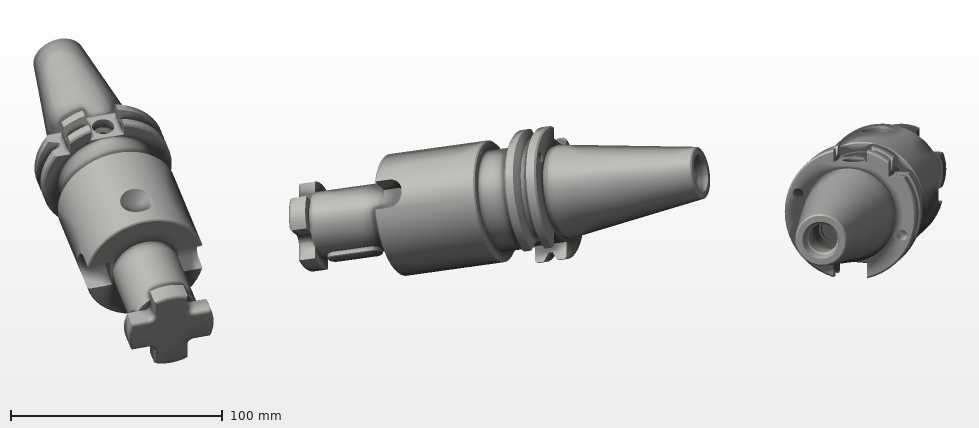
import cadquery as cq
import math


GAUGE_X = 68.9
GAUGE_R = 22.4
TAPER_RATIO = 7 / 24
SMALL_END_R = GAUGE_R - GAUGE_X * TAPER_RATIO / 2
SMALL_END_CHAMFER = 0.6
RELIEF_X = 70.0
RELIEF_R = 22.0

BOLT_MOUTH_R = 8.9
BOLT_SEAT_R = 7.7
BOLT_SEAT_DEPTH = 4.6
BOLT_SHOULDER_R = 6.8
BOLT_CORE_R = 5.8
BOLT_DEPTH = 30.2
BOLT_CORE_DEPTH = 32.2

FLANGE_X = 71.5
FLANGE_END_X = 87.5
FLANGE_R = 31.6
FLANGE_CHAMFER = 0.8
GROOVE_X = 79.5
GROOVE_R = 27.5
GROOVE_FLOOR_WIDTH = 2.0
GROOVE_HALF_ANGLE = math.radians(30)

DRIVE_SLOT_WIDTH = 16.1
UPPER_SLOT_Z = 24.5
LOWER_SLOT_Z = 22.2
LOWER_SLOT_FLAT_END_X = 86.8
LOWER_SLOT_RUNOUT_R = 20.1
NOTCH_OFFSET = 18.3
COOLANT_D = 4.6
COOLANT_RADIUS = 26.5
COOLANT_ANGLE = 20
COOLANT_TILT = math.radians(30)
COOLANT_DEPTH = 12.0
POCKET_D = 10.5
POCKET_DEPTH = 5.0
PILOT_D = 3.5
PILOT_DEPTH = 4.0

NECK_R = 24.2
NECK_FILLET = 0.6
DRUM_X = 103.5
DRUM_END_X = 154.5
DRUM_R = 29.0
DRUM_CHAMFER = 0.6
DIMPLE_X = 139.0
DIMPLE_BALL_R = 9.0
DIMPLE_BALL_Z = 32.8
DRIVER_SLOT_WIDTH = 14.0
DRIVER_SLOT_X = 140.4

SPIGOT_END_X = 191.1
SPIGOT_R = 16.1
UNDERCUT_R = 16.0
UNDERCUT_WIDTH = 2.2
UNDERCUT_RAMP = 0.8

KEY_X = 161.7
KEY_END_X = 189.3
KEY_WIDTH = 8.0
KEY_HEIGHT = 7.0
KEY_TOP = 18.0
KEY_CHAMFER = 0.5

SCREW_END_X = 201.5
HEAD_X = 192.5
HEAD_R = 21.0
ARM_WIDTH = 16.3
ARM_CORNER_R = 3.0
HEAD_FILLET = 1.8

EXTRA = 2.0


def box(x_min, x_max, y_min, y_max, z_min, z_max):
    """Axis-parallel block between the given limits."""
    size = (x_max - x_min, y_max - y_min, z_max - z_min)
    return cq.Workplane("XY").box(*size, centered=False).translate((x_min, y_min, z_min))


def turned(profile):
    """Turn a closed (x, radius) workplane outline about the X axis."""
    return profile.close().revolve(360, (0, 0, 0), (1, 0, 0))


def holder_blank():
    groove_floor = GROOVE_FLOOR_WIDTH / 2
    groove_mouth = groove_floor + (FLANGE_R - GROOVE_R) * math.tan(GROOVE_HALF_ANGLE)
    outline = (
        cq.Workplane("XY")
        .moveTo(0, 0)
        .lineTo(0, SMALL_END_R - SMALL_END_CHAMFER)
        .lineTo(SMALL_END_CHAMFER, SMALL_END_R + SMALL_END_CHAMFER * TAPER_RATIO / 2)
        .lineTo(GAUGE_X, GAUGE_R)
        .lineTo(RELIEF_X, RELIEF_R)
        .lineTo(FLANGE_X, RELIEF_R)
        .lineTo(FLANGE_X, FLANGE_R - FLANGE_CHAMFER)
        .lineTo(FLANGE_X + FLANGE_CHAMFER, FLANGE_R)
        .lineTo(GROOVE_X - groove_mouth, FLANGE_R)
        .lineTo(GROOVE_X - groove_floor, GROOVE_R)
        .lineTo(GROOVE_X + groove_floor, GROOVE_R)
        .lineTo(GROOVE_X + groove_mouth, FLANGE_R)
        .lineTo(FLANGE_END_X - FLANGE_CHAMFER, FLANGE_R)
        .lineTo(FLANGE_END_X, FLANGE_R - FLANGE_CHAMFER)
        .lineTo(FLANGE_END_X, NECK_R + NECK_FILLET)
        .radiusArc((FLANGE_END_X + NECK_FILLET, NECK_R), -NECK_FILLET)
        .lineTo(DRUM_X - NECK_FILLET, NECK_R)
        .radiusArc((DRUM_X, NECK_R + NECK_FILLET), -NECK_FILLET)
        .lineTo(DRUM_X, DRUM_R - DRUM_CHAMFER)
        .lineTo(DRUM_X + DRUM_CHAMFER, DRUM_R)
        .lineTo(DRUM_END_X - DRUM_CHAMFER, DRUM_R)
        .lineTo(DRUM_END_X, DRUM_R - DRUM_CHAMFER)
        .lineTo(DRUM_END_X, UNDERCUT_R)
        .lineTo(DRUM_END_X + UNDERCUT_WIDTH - UNDERCUT_RAMP, UNDERCUT_R)
        .lineTo(DRUM_END_X + UNDERCUT_WIDTH, SPIGOT_R)
        .lineTo(SPIGOT_END_X, SPIGOT_R)
        .lineTo(SPIGOT_END_X, 0)
    )
    return turned(outline)


def bolt_hole():
    shoulder_depth = BOLT_SEAT_DEPTH + BOLT_SEAT_R - BOLT_SHOULDER_R
    outline = (
        cq.Workplane("XY")
        .moveTo(0, 0)
        .lineTo(0, BOLT_MOUTH_R)
        .lineTo(BOLT_SEAT_DEPTH, BOLT_SEAT_R)
        .lineTo(shoulder_depth, BOLT_SHOULDER_R)
        .lineTo(BOLT_DEPTH, BOLT_SHOULDER_R)
        .lineTo(BOLT_DEPTH, BOLT_CORE_R)
        .lineTo(BOLT_CORE_DEPTH, BOLT_CORE_R)
        .lineTo(BOLT_CORE_DEPTH, 0)
    )
    return turned(outline)


def drive_slots():
    half = DRIVE_SLOT_WIDTH / 2
    start = FLANGE_X - EXTRA
    outside = FLANGE_R + EXTRA
    upper = box(start, FLANGE_END_X, -half, half, UPPER_SLOT_Z, outside)
    runout_drop = outside - LOWER_SLOT_Z
    runout_length = math.sqrt(LOWER_SLOT_RUNOUT_R**2 - (LOWER_SLOT_RUNOUT_R - runout_drop) ** 2)
    lower = (
        cq.Workplane("XZ")
        .moveTo(start, -outside)
        .lineTo(start, -LOWER_SLOT_Z)
        .lineTo(LOWER_SLOT_FLAT_END_X, -LOWER_SLOT_Z)
        .radiusArc((LOWER_SLOT_FLAT_END_X + runout_length, -outside), LOWER_SLOT_RUNOUT_R)
        .close()
        .extrude(half, both=True)
    )
    return upper.union(lower)


def corner_notch():
    outside = FLANGE_R + EXTRA
    return box(FLANGE_X - EXTRA, FLANGE_END_X, -outside, -NOTCH_OFFSET, NOTCH_OFFSET, outside)


def coolant_hole(angle):
    """Blind hole in the flange's front face, tilted towards the axis."""
    radial = cq.Vector(0, math.cos(angle), math.sin(angle))
    direction = cq.Vector(math.cos(COOLANT_TILT), 0, 0) - radial * math.sin(COOLANT_TILT)
    mouth = cq.Vector(FLANGE_X, 0, 0) + radial * COOLANT_RADIUS
    start = mouth - direction * EXTRA
    hole = cq.Solid.makeCylinder(COOLANT_D / 2, COOLANT_DEPTH + EXTRA, start, direction)
    return cq.Workplane("XY").add(hole)


def tag_pocket():
    """Stepped blind hole in the floor of the upper drive slot."""
    return (
        cq.Workplane("XY", origin=(GROOVE_X, 0, UPPER_SLOT_Z))
        .circle(POCKET_D / 2)
        .extrude(-POCKET_DEPTH)
        .circle(PILOT_D / 2)
        .extrude(-POCKET_DEPTH - PILOT_DEPTH)
    )


def driver_slot(side):
    """Round-ended slot in the drum's end, on the +Y (1) or -Y (-1) side."""
    half = DRIVER_SLOT_WIDTH / 2
    center_x = DRIVER_SLOT_X + half
    length = DRUM_R + EXTRA - SPIGOT_R
    straight = box(center_x, DRUM_END_X, SPIGOT_R, SPIGOT_R + length, -half, half)
    round_end = (
        cq.Workplane("XZ", origin=(center_x, SPIGOT_R, 0))
        .circle(half)
        .extrude(-length)
    )
    slot = straight.union(round_end)
    return slot if side > 0 else slot.mirror("XZ")


def make_key(chamfer):
    """Round-ended feather key on the spigot's -Z side; without chamfer it also cuts the keyseat."""
    length = KEY_END_X - KEY_X
    key = (
        cq.Workplane("XY", origin=((KEY_X + KEY_END_X) / 2, 0, -KEY_TOP))
        .slot2D(length, KEY_WIDTH)
        .extrude(KEY_HEIGHT)
    )
    return key.faces("<Z").chamfer(chamfer) if chamfer else key


def make_holder():
    body = holder_blank().cut(bolt_hole())
    body = body.cut(drive_slots()).cut(corner_notch()).cut(tag_pocket())
    for angle in (COOLANT_ANGLE, COOLANT_ANGLE + 180):
        body = body.cut(coolant_hole(math.radians(angle)))
    dimple = cq.Workplane("XY").sphere(DIMPLE_BALL_R).translate((DIMPLE_X, 0, DIMPLE_BALL_Z))
    body = body.cut(dimple)
    for side in (1, -1):
        body = body.cut(driver_slot(side))
    return body.cut(make_key(0))


def make_screw():
    """Four-armed head on a short collar that closes the spigot's end."""
    head_plane = cq.Workplane("YZ", origin=(HEAD_X, 0, 0))
    length = SCREW_END_X - HEAD_X
    reach = 2 * (HEAD_R + EXTRA)
    arms = head_plane.rect(reach, ARM_WIDTH).extrude(length)
    arms = arms.union(head_plane.rect(ARM_WIDTH, reach).extrude(length))
    half = ARM_WIDTH / 2
    inner_corners = cq.selectors.BoxSelector(
        (HEAD_X, -half - EXTRA, -half - EXTRA), (SCREW_END_X, half + EXTRA, half + EXTRA)
    )
    arms = arms.edges("|X").edges(inner_corners).fillet(ARM_CORNER_R)
    head = arms.intersect(head_plane.circle(HEAD_R).extrude(length))
    head = head.faces(">X").edges().fillet(HEAD_FILLET)
    collar = (
        cq.Workplane("YZ", origin=(SPIGOT_END_X, 0, 0))
        .circle(SPIGOT_R)
        .extrude(HEAD_X - SPIGOT_END_X)
    )
    return head.union(collar)


holder = make_holder()
key = make_key(KEY_CHAMFER)
screw = make_screw()

result = cq.Compound.makeCompound([holder.val(), key.val(), screw.val()])